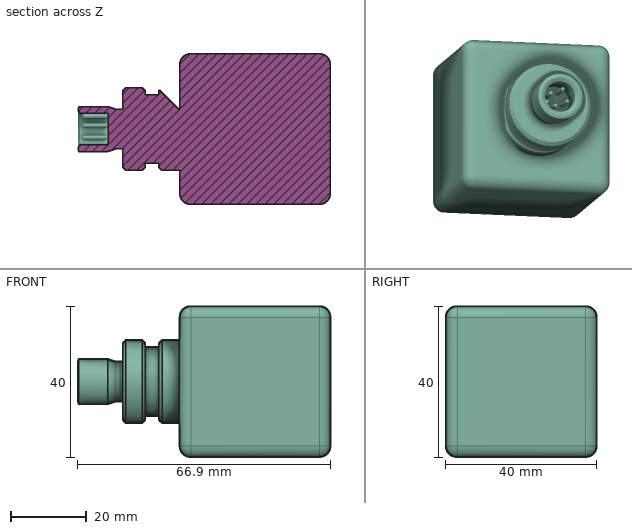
import cadquery as cq
import math

BODY_SIZE = 40.0
BODY_FILLET = 3.0
TOTAL_LENGTH = 66.9
BODY_FACE_X = TOTAL_LENGTH - BODY_SIZE

PLUG_LENGTH = 7.9
NECK_START_X = 9.9
COLLAR_START_X = 11.85
COLLAR_END_X = 17.85
FLANGE_START_X = 21.4
PLUG_RADIUS = 6.0
NECK_RADIUS = 5.35
COLLAR_RADIUS = 11.05
GROOVE_RADIUS = 9.2
COLLAR_CHAMFER = 0.9
TIP_CHAMFER_LENGTH = 0.3
TIP_CHAMFER_HEIGHT = 0.7

CUT_HEIGHT_AT_BODY = 5.1

SOCKET_RADIUS = 4.1
MOUTH_RADIUS = 4.95
MOUTH_DEPTH = 0.6
SOCKET_DEPTH = 8.0

PIN_COUNT = 4
PIN_RADIUS = 0.55
PIN_TIP_FILLET = 0.4
PIN_CIRCLE_RADIUS = 2.44
PIN_TIP_X = 1.3
FIRST_PIN_ANGLE = 66.0
KEY_ANGLE = FIRST_PIN_ANGLE + 135.0
KEY_RADIUS = 0.6
KEY_CIRCLE_RADIUS = 3.7
OVERLAP = 0.35


def make_body():
    body = cq.Workplane("XY").box(BODY_SIZE, BODY_SIZE, BODY_SIZE)
    body = body.edges().fillet(BODY_FILLET)
    return body.translate((BODY_FACE_X + BODY_SIZE / 2, 0, 0))


def revolve_about_x(profile):
    return profile.close().revolve(360, (0, 0, 0), (1, 0, 0))


def make_plug_and_collar():
    collar_edge_radius = COLLAR_RADIUS - COLLAR_CHAMFER
    return revolve_about_x(
        cq.Workplane("XY")
        .moveTo(0, 0)
        .lineTo(0, PLUG_RADIUS - TIP_CHAMFER_HEIGHT)
        .lineTo(TIP_CHAMFER_LENGTH, PLUG_RADIUS)
        .lineTo(PLUG_LENGTH, PLUG_RADIUS)
        .lineTo(NECK_START_X, NECK_RADIUS)
        .lineTo(COLLAR_START_X, NECK_RADIUS)
        .lineTo(COLLAR_START_X, collar_edge_radius)
        .lineTo(COLLAR_START_X + COLLAR_CHAMFER, COLLAR_RADIUS)
        .lineTo(COLLAR_END_X - COLLAR_CHAMFER, COLLAR_RADIUS)
        .lineTo(COLLAR_END_X, collar_edge_radius)
        .lineTo(COLLAR_END_X, GROOVE_RADIUS)
        .lineTo(BODY_FACE_X, GROOVE_RADIUS)
        .lineTo(BODY_FACE_X, 0)
    )


def make_flange():
    return revolve_about_x(
        cq.Workplane("XY")
        .moveTo(FLANGE_START_X, 0)
        .lineTo(FLANGE_START_X, COLLAR_RADIUS - COLLAR_CHAMFER)
        .lineTo(FLANGE_START_X + COLLAR_CHAMFER, COLLAR_RADIUS)
        .lineTo(BODY_FACE_X, COLLAR_RADIUS)
        .lineTo(BODY_FACE_X, 0)
    )


def make_flange_cut():
    cut_run = COLLAR_RADIUS - CUT_HEIGHT_AT_BODY
    return (
        cq.Workplane("XY")
        .moveTo(BODY_FACE_X, CUT_HEIGHT_AT_BODY)
        .lineTo(BODY_FACE_X, COLLAR_RADIUS)
        .lineTo(BODY_FACE_X - cut_run, COLLAR_RADIUS)
        .close()
        .extrude(COLLAR_RADIUS, both=True)
    )


def make_socket():
    return revolve_about_x(
        cq.Workplane("XY")
        .moveTo(0, 0)
        .lineTo(0, MOUTH_RADIUS)
        .lineTo(MOUTH_DEPTH, SOCKET_RADIUS)
        .lineTo(SOCKET_DEPTH, SOCKET_RADIUS)
        .lineTo(SOCKET_DEPTH, 0)
    )


def make_rod(radius, circle_radius, angle):
    """Rod along X, at an angle counted from -Y towards +Z around the axis."""
    rod_length = SOCKET_DEPTH + OVERLAP - PIN_TIP_X
    rod = cq.Workplane("YZ").circle(radius).extrude(rod_length)
    rod = rod.faces("<X").edges().fillet(PIN_TIP_FILLET)
    angle_radians = math.radians(angle)
    rod_y = -circle_radius * math.cos(angle_radians)
    rod_z = circle_radius * math.sin(angle_radians)
    return rod.translate((PIN_TIP_X, rod_y, rod_z))


connector = make_plug_and_collar().union(make_flange()).cut(make_flange_cut())
connector = connector.cut(make_socket())
for pin_index in range(PIN_COUNT):
    pin_angle = FIRST_PIN_ANGLE + pin_index * 360 / PIN_COUNT
    connector = connector.union(make_rod(PIN_RADIUS, PIN_CIRCLE_RADIUS, pin_angle))
connector = connector.union(make_rod(KEY_RADIUS, KEY_CIRCLE_RADIUS, KEY_ANGLE))

result = make_body().union(connector)